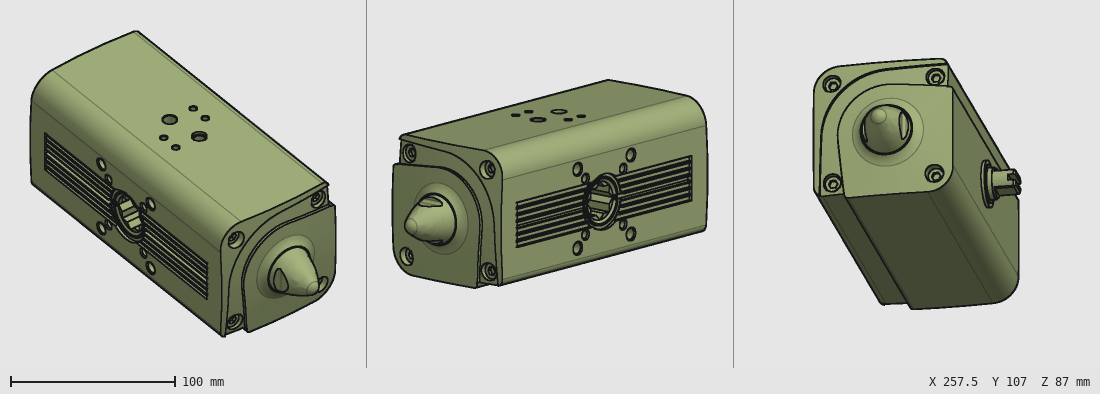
import cadquery as cq
import math

far = 46.8
near = 40.2
step_level = 36.5
step_end = 27.5
big_radius = 16.0
small_radius = 5.1
step_radius = 2.3

dome_tip = 99.0
dome_radius = 360.4

plate_radius = 31.5
crescent_radius = 42.0
crescent_end = 43.5
crescent_depth = 2.0

length = 257.5
tip_mid_x = 128.0
tip_mid_radius = 2.8
nose_round_x = 125.9
nose_round_radius = 5.0
nose_mid_x = 114.8
nose_mid_radius = 11.0
nose_foot_x = 102.2
nose_foot_radius = 15.5
flare_start_radius = 16.2
flare_mid_x = 100.0
flare_mid_radius = 18.5
flare_radius = 22.1
flat_distance = 10.8
flat_end_x = 105.8
flat_corner_radius = 2.0

section_offset = (far - near) / 2
screw_spacing = 64.0
screw_recess_diameter = 11.0
screw_head_diameter = 10.0
screw_floor_x = 89.3
screw_head_height = 2.3
socket_width = 5.7

body_half_length = 81.0
groove_count = 7
groove_pitch = 4.0
groove_mouth_width = 3.3
groove_floor_width = 2.8
groove_depth = 1.8
middle_groove_depth = 3.0

outer_hole_offset = 24.7
outer_hole_diameter = 7.0
outer_hole_mouth = 8.5
outer_hole_depth = 12.9
inner_hole_offset = 17.5
inner_hole_diameter = 5.0
inner_hole_mouth = 6.7
inner_hole_depth = 10.3
drill_tip_angle = 118.0
flat_bottom = 180.0

recess_diameter = 35.0
recess_depth = 2.3
gap_diameter = 30.6
spindle_diameter = 29.0
gap_depth = 1.3
mouth_diameter = 28.0
mouth_depth = 1.3
star_side = 17.0
star_diameter = 24.0
star_depth = 20.5
pilot_diameter = 18.0

pattern_y = -1.8
port_dx = 12.0
port_dy = 2.0
port_diameter = 8.5
port_mouth = 9.3
port_depth = 20.5
reduced_port_diameter = 7.0
reduced_port_step = 2.0
top_hole_pitch = 12.0
top_hole_dy = 16.0
top_hole_diameter = 4.0
top_hole_mouth = 5.0
top_hole_depth = 7.7

stem_end = 60.2
stem_diameter = 18.3
stem_layers = [
    (28.0, 29.0, 42.2),
    (24.0, 24.0, 42.7),
    (20.0, 20.0, 45.8),
    (stem_diameter, stem_diameter, 47.0),
]
stem_root = 2.5
stem_flats = 11.5
stem_edge_chamfer = 0.8
stem_chamfer = 1.3
slot_width = 3.5
slot_depth = 4.5


def across_diagonal(point):
    """Mirror a (y, z) point of the section about its diagonal."""
    y, z = point
    return (-z, -y)


def round_edges(solid, points, radius):
    """Round the lengthwise edges that pass nearest to the given (y, z) points."""
    for y, z in points:
        nearest = cq.selectors.NearestToPointSelector((0, y, z))
        solid = solid.edges("|X").edges(nearest).fillet(radius)
    return solid


def housing():
    """Extruded section with its ends trimmed to shallow domes."""
    solid = (
        cq.Workplane("YZ")
        .polyline([
            (-far, far), (step_level, far), (step_level, step_end), (near, step_end),
            (near, -near), (-step_end, -near), (-step_end, -step_level), (-far, -step_level),
        ])
        .close()
        .extrude(dome_tip, both=True)
    )
    top_rear = (step_level, far)
    step_corner = (near, step_end)
    solid = round_edges(solid, [(-far, far), (near, -near)], big_radius)
    solid = round_edges(solid, [top_rear, across_diagonal(top_rear)], small_radius)
    solid = round_edges(solid, [step_corner, across_diagonal(step_corner)], step_radius)
    for side in (-1, 1):
        centre_x = side * (dome_tip - dome_radius)
        solid = solid.intersect(cq.Workplane().sphere(dome_radius).translate((centre_x, 0, 0)))
    return solid


def boundary_points(radius, end):
    """End, tangent point, arc middle, tangent point and end of a line-arc-line curve."""
    tangent_angle = math.atan2(end[1], end[0]) + math.acos(radius / math.hypot(*end))
    tangent = (radius * math.cos(tangent_angle), radius * math.sin(tangent_angle))
    middle = (-radius * math.sqrt(0.5), radius * math.sqrt(0.5))
    return [end, tangent, middle, across_diagonal(tangent), across_diagonal(end)]


def crescent():
    """Sunken band of the left cap, following the domed face."""
    outer = boundary_points(crescent_radius, (near, crescent_end))
    inner = boundary_points(plate_radius, (near, step_end))
    band = (
        cq.Workplane("YZ", origin=(-dome_tip, 0, 0))
        .moveTo(*outer[0])
        .lineTo(*outer[1])
        .threePointArc(outer[2], outer[3])
        .lineTo(*outer[4])
        .lineTo(*inner[4])
        .lineTo(*inner[3])
        .threePointArc(inner[2], inner[1])
        .lineTo(*inner[0])
        .close()
        .extrude(dome_tip - body_half_length)
    )
    dome = cq.Workplane().sphere(dome_radius).translate((dome_radius - dome_tip, 0, 0))
    return band.cut(dome.translate((crescent_depth, 0, 0)))


def nose():
    """Pointed boss of the left cap with two flats facing up and down."""
    flare_end_x = dome_tip - dome_radius + math.sqrt(dome_radius**2 - flare_radius**2)
    profile = (
        cq.Workplane("XY")
        .moveTo(-length / 2, 0)
        .threePointArc((-tip_mid_x, tip_mid_radius), (-nose_round_x, nose_round_radius))
        .threePointArc((-nose_mid_x, nose_mid_radius), (-nose_foot_x, nose_foot_radius))
        .lineTo(-nose_foot_x, flare_start_radius)
        .threePointArc((-flare_mid_x, flare_mid_radius), (-flare_end_x, flare_radius))
        .lineTo(-body_half_length, flare_radius)
        .lineTo(-body_half_length, 0)
        .close()
    )
    solid = profile.revolve(360, (0, 0, 0), (1, 0, 0))
    cutter = (
        cq.Workplane()
        .box(length / 2 - flat_end_x, 2 * flare_radius, flare_radius, centered=(False, True, False))
        .translate((-length / 2, 0, flat_distance))
        .edges(">X and <Z")
        .fillet(flat_corner_radius)
    )
    return solid.cut(cutter).cut(cutter.mirror("XY"))


def screw_recesses():
    """Counterbores of the left cap with a socket-head screw left standing in each."""
    corners = (
        cq.Workplane("YZ", origin=(-screw_floor_x, 0, 0))
        .center(-section_offset, section_offset)
        .rect(screw_spacing, screw_spacing, forConstruction=True)
        .vertices()
    )
    recess = corners.circle(screw_recess_diameter / 2).extrude(screw_floor_x - dome_tip)
    head = corners.circle(screw_head_diameter / 2).extrude(-screw_head_height)
    socket = corners.polygon(6, socket_width).extrude(-screw_head_height)
    return recess.cut(head).union(socket)


def grooves():
    """Parallel grooves with sloping flanks, the middle one deeper."""
    solid = cq.Workplane()
    for i in range(groove_count):
        place = i - (groove_count - 1) // 2
        depth = middle_groove_depth if place == 0 else groove_depth
        groove = (
            cq.Workplane("XZ", origin=(0, -far, place * groove_pitch))
            .rect(2 * body_half_length, groove_mouth_width)
            .workplane(offset=-depth)
            .rect(2 * body_half_length, groove_floor_width)
            .loft()
        )
        solid = solid.add(groove)
    return solid.combine()


def drilled_hole(diameter, depth, mouth=None, tip_angle=drill_tip_angle):
    """Hole going down from the origin; an optional mouth is countersunk at 45 degrees."""
    radius = diameter / 2
    tip = radius / math.tan(math.radians(tip_angle / 2))
    points = [(0, -depth - tip), (radius, -depth)]
    if mouth:
        points.append((radius, (diameter - mouth) / 2))
        points.append((mouth / 2, 0))
    else:
        points.append((radius, 0))
    points.append((0, 0))
    return cq.Workplane("XZ").polyline(points).close().revolve(360, (0, 0, 0), (0, 1, 0))


def front_holes():
    """Two square patterns of blind holes around the spindle."""
    solid = cq.Workplane()
    for offset, diameter, depth, mouth in (
        (outer_hole_offset, outer_hole_diameter, outer_hole_depth, outer_hole_mouth),
        (inner_hole_offset, inner_hole_diameter, inner_hole_depth, inner_hole_mouth),
    ):
        hole = drilled_hole(diameter, depth, mouth).rotate((0, 0, 0), (1, 0, 0), 90)
        for x in (-offset, offset):
            for z in (-offset, offset):
                solid = solid.add(hole.translate((x, -far, z)))
    return solid.combine()


def spindle_socket():
    """Recess with a stepped ring and a deep eight-pointed star."""
    front = cq.Workplane("XZ", origin=(0, -far, 0))
    spindle_face = cq.Workplane("XZ", origin=(0, -far + recess_depth, 0))
    solid = front.circle(recess_diameter / 2).extrude(-recess_depth)
    gap = spindle_face.circle(gap_diameter / 2).circle(spindle_diameter / 2).extrude(-gap_depth)
    mouth = (
        spindle_face.circle(mouth_diameter / 2)
        .workplane(offset=-mouth_depth)
        .circle(star_diameter / 2)
        .loft()
    )
    square = spindle_face.rect(star_side, star_side).extrude(-star_depth)
    star = square.union(square.rotate((0, 0, 0), (0, 1, 0), 45))
    star = star.intersect(spindle_face.circle(star_diameter / 2).extrude(-star_depth))
    pilot = drilled_hole(pilot_diameter, star_depth)
    pilot = pilot.rotate((0, 0, 0), (1, 0, 0), 90).translate((0, -far + recess_depth, 0))
    return solid.union(gap).union(mouth).union(star).union(pilot)


def top_holes():
    """Two air ports and four screw holes, point-symmetric about the pattern centre."""
    port = drilled_hole(port_diameter, port_depth, port_mouth, flat_bottom)
    reduced_port = (
        cq.Workplane()
        .circle(port_mouth / 2)
        .extrude(-reduced_port_step)
        .union(drilled_hole(reduced_port_diameter, port_depth, tip_angle=flat_bottom))
    )
    small = drilled_hole(top_hole_diameter, top_hole_depth, top_hole_mouth)
    solid = (
        cq.Workplane()
        .add(port.translate((-port_dx, -port_dy, 0)))
        .add(reduced_port.translate((port_dx, port_dy, 0)))
    )
    for side in (-1, 1):
        for x in (0, -side * top_hole_pitch):
            solid = solid.add(small.translate((x, side * top_hole_dy, 0)))
    return solid.combine().translate((0, pattern_y, far))


def stem():
    """Stepped round foot, shaft with two flats and a driver slot across its end."""
    profile = cq.Workplane("XY").moveTo(0, near - stem_root)
    level = near - stem_root
    for bottom_diameter, top_diameter, top_level in stem_layers:
        profile = profile.lineTo(bottom_diameter / 2, level).lineTo(top_diameter / 2, top_level)
        level = top_level
    foot = profile.lineTo(0, level).close().revolve(360, (0, 0, 0), (0, 1, 0))
    root_plane = cq.Workplane("XZ", origin=(0, level, 0))
    flats = (
        root_plane.rect(2 * stem_diameter, stem_flats)
        .extrude(level - stem_end)
        .edges(">Y and |X")
        .chamfer(stem_chamfer)
    )
    shaft = (
        root_plane.circle(stem_diameter / 2)
        .extrude(level - stem_end)
        .faces(">Y")
        .chamfer(stem_chamfer)
        .intersect(flats)
        .edges("|Y")
        .chamfer(stem_edge_chamfer)
    )
    slot = cq.Workplane().box(2 * stem_diameter, 2 * slot_depth, slot_width)
    return foot.union(shaft.cut(slot.translate((0, stem_end, 0))))


result = housing()
left_crescent = crescent()
left_recesses = screw_recesses()
for cut in (left_crescent, left_recesses):
    result = result.cut(cut).cut(cut.mirror("YZ"))
left_nose = nose()
right_nose = left_nose.mirror("YZ").rotate((0, 0, 0), (1, 0, 0), 90)
result = result.union(left_nose).union(right_nose)
result = result.cut(grooves()).cut(front_holes()).cut(spindle_socket()).cut(top_holes())
result = result.union(stem())